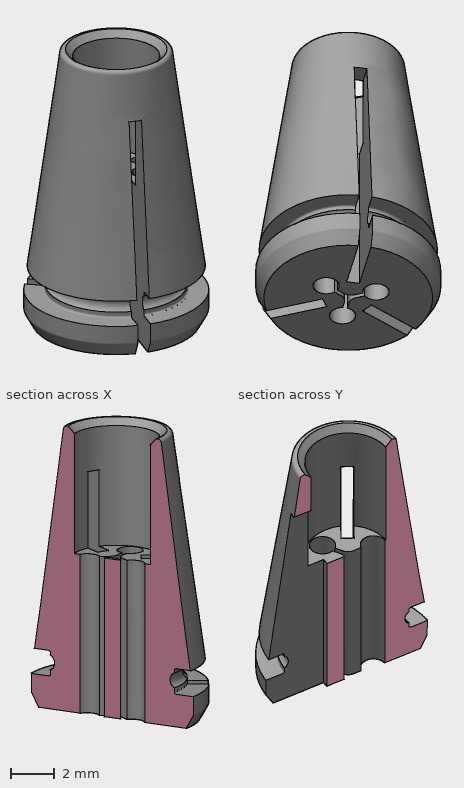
import cadquery as cq
import math

height = 13.6
flange_radius = 8.5 / 2
flange_top = 1.58
flange_bevel_height = 0.68
flange_bevel_width = 0.38
flange_rounding = 0.16

neck_radius = 3.26
neck_fillet = 0.1
groove_depth = 0.22
groove_bottom = 1.86
groove_top = 2.57

cone_bottom = 2.77
cone_radius = 4.1
cone_angle = math.radians(8)
rim_rounding = 0.2

bore_radius = 4.0 / 2
bore_floor = 7.58
bore_chamfer = 0.33

selection_margin = 0.01

repeat_count = 3
pitch_angle = 360 / repeat_count
slot_angles = [index * pitch_angle for index in range(repeat_count)]
relief_angles = [angle + pitch_angle / 2 for angle in slot_angles]
slot_width = 0.6
slot_inner_radius = 1.14
slot_top = 11.2
relief_hole_diameter = 1.2
relief_hole_distance = 1.35
slit_width = 0.22
jaw_tip_radius = 0.5


def revolved_body():
    """Flange, grooved neck and cone turned in one profile."""
    cone_top_radius = cone_radius - (height - cone_bottom) * math.tan(cone_angle)
    groove_middle = (groove_bottom + groove_top) / 2
    profile = (
        cq.Workplane("XZ")
        .lineTo(flange_radius - flange_bevel_width, 0)
        .lineTo(flange_radius, flange_bevel_height)
        .lineTo(flange_radius, flange_top)
        .lineTo(neck_radius + neck_fillet, flange_top)
        .radiusArc((neck_radius, flange_top + neck_fillet), neck_fillet)
        .lineTo(neck_radius, groove_bottom)
        .threePointArc((neck_radius - groove_depth, groove_middle), (neck_radius, groove_top))
        .lineTo(neck_radius, cone_bottom - neck_fillet)
        .radiusArc((neck_radius + neck_fillet, cone_bottom), neck_fillet)
        .lineTo(cone_radius, cone_bottom)
        .lineTo(cone_top_radius, height)
        .lineTo(0, height)
        .close()
    )
    body = profile.revolve(360, (0, 0, 0), (0, 1, 0))
    body = body.faces(">Z").edges().fillet(rim_rounding)
    bevel_edge = cq.selectors.BoxSelector(
        (-height, -height, flange_bevel_height - selection_margin),
        (height, height, flange_bevel_height + selection_margin),
        boundingbox=True,
    )
    return body.edges(bevel_edge).fillet(flange_rounding)


def bore():
    """Blind bore with a chamfered mouth."""
    mouth = bore_radius + bore_chamfer
    return (
        cq.Workplane("XZ")
        .moveTo(0, bore_floor)
        .lineTo(bore_radius, bore_floor)
        .lineTo(bore_radius, height - bore_chamfer)
        .lineTo(mouth, height)
        .lineTo(0, height)
        .close()
        .revolve(360, (0, 0, 0), (0, 1, 0))
    )


def radial_slot(angle):
    """Slot open to the outside and to the flange end."""
    slot = cq.Workplane("XY").box(flange_radius, slot_width, slot_top, centered=(False, True, False))
    return slot.translate((slot_inner_radius, 0, 0)).rotate((0, 0, 0), (0, 0, 1), angle)


def three_way_slit():
    """Narrow slits meeting on the axis, which leave rounded jaw tips."""
    slits = cq.Workplane("XY")
    for angle in relief_angles:
        slit = cq.Workplane("XY").box(
            relief_hole_distance, slit_width, bore_floor, centered=(False, True, False)
        )
        slits = slits.union(slit.rotate((0, 0, 0), (0, 0, 1), angle))
    tip_edges = cq.selectors.BoxSelector(
        (-slit_width, -slit_width, 0), (slit_width, slit_width, bore_floor)
    )
    return slits.edges("|Z").edges(tip_edges).fillet(jaw_tip_radius)


def relief_holes():
    """Through holes at the outer ends of the slits."""
    hole = cq.Workplane("XY").center(relief_hole_distance, 0).circle(relief_hole_diameter / 2)
    hole = hole.extrude(bore_floor)
    holes = cq.Workplane("XY")
    for angle in relief_angles:
        holes = holes.union(hole.rotate((0, 0, 0), (0, 0, 1), angle))
    return holes


result = revolved_body().cut(bore()).cut(three_way_slit()).cut(relief_holes())
for slot_angle in slot_angles:
    result = result.cut(radial_slot(slot_angle))